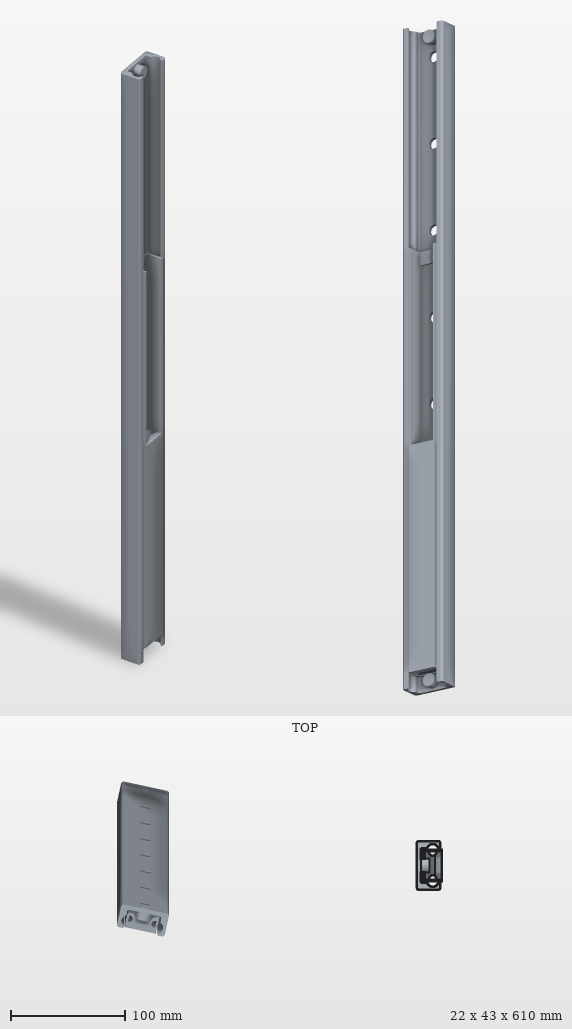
import cadquery as cq

RAIL_LENGTH = 610
RAIL_DEPTH = 21.0
RAIL_WIDTH = 43
WEB_THICKNESS = 3.5
FLANGE_THICKNESS = 6
CORNER_RADIUS = 2.15
INNER_CORNER_RADIUS = 2.0


GROOVE_X = 14.0
RAIL_GROOVE_RADIUS = 5.2
RAIL_GROOVE_Y = 13.5

HOLE_DIAMETER = 10.0
HOLE_COUNT = 8
FIRST_HOLE_Z = 25.0
HOLE_PITCH = (RAIL_LENGTH - 2 * FIRST_HOLE_Z) / (HOLE_COUNT - 1)

STOP_END_DISTANCE = 8.0
STOP_SHANK_DIAMETER = 11.0
STOP_SHANK_CHAMFER = 1.0
STOP_HEAD_DIAMETER = 12
STOP_HEAD_END_X = 11.0
STOP_HEIGHTS = [STOP_END_DISTANCE, RAIL_LENGTH - STOP_END_DISTANCE]

CARRIAGE_START_Z = STOP_END_DISTANCE + STOP_HEAD_DIAMETER / 2
CARRIAGE_FRONT_X = 22.0

CAGE_LENGTH = 391.5
CAGE_WIDTH = 28.0
CAGE_THICKNESS = 2.0
CAGE_BACK_X = 5.5
CAGE_BRIDGE_LENGTH = 12

SLIDER_LENGTH = 210.0
SLIDER_BACK_X = CAGE_BACK_X + CAGE_THICKNESS
SLIDER_WIDTH = CAGE_WIDTH - 2 * CAGE_THICKNESS
SLIDER_PLATE_X = 16.0
SLIDER_END_STEP = 1.0
SLIDER_GROOVE_RADIUS = 3.0
SLIDER_GROOVE_Y = 11.5


def block(x_start, x_end, width, z_start, length):
    """Box centred on Y."""
    return (
        cq.Workplane("XY", origin=(0, 0, z_start))
        .center((x_start + x_end) / 2, 0)
        .rect(x_end - x_start, width)
        .extrude(length)
    )


def rod_along_x(diameter, x_start, x_end, z):
    """Cylinder on the middle plane of the rail."""
    return (
        cq.Workplane("YZ", origin=(x_start, 0, z))
        .circle(diameter / 2)
        .extrude(x_end - x_start)
    )


def groove_pair(radius, y, z_start, length):
    """Two cylinders along Z that cut the ball grooves at +Y and -Y."""
    return (
        cq.Workplane("XY", origin=(0, 0, z_start))
        .pushPoints([(GROOVE_X, y), (GROOVE_X, -y)])
        .circle(radius)
        .extrude(length)
    )


def make_rail():
    channel_width = RAIL_WIDTH - 2 * FLANGE_THICKNESS
    rail = block(0, RAIL_DEPTH, RAIL_WIDTH, 0, RAIL_LENGTH).edges("|Z").fillet(CORNER_RADIUS)
    channel = block(WEB_THICKNESS, RAIL_DEPTH, channel_width, 0, RAIL_LENGTH)
    rail = rail.cut(channel.edges("|Z and <X").fillet(INNER_CORNER_RADIUS))
    rail = rail.cut(groove_pair(RAIL_GROOVE_RADIUS, RAIL_GROOVE_Y, 0, RAIL_LENGTH))
    for index in range(HOLE_COUNT):
        hole_z = FIRST_HOLE_Z + index * HOLE_PITCH
        rail = rail.cut(rod_along_x(HOLE_DIAMETER, 0, WEB_THICKNESS, hole_z))
    for stop_z in STOP_HEIGHTS:
        rail = rail.cut(rod_along_x(STOP_SHANK_DIAMETER, 0, WEB_THICKNESS, stop_z))
    return rail


def make_cage():
    cage = block(CAGE_BACK_X, CARRIAGE_FRONT_X, CAGE_WIDTH, CARRIAGE_START_Z, CAGE_LENGTH)
    slider_space = block(SLIDER_BACK_X, CARRIAGE_FRONT_X, SLIDER_WIDTH, CARRIAGE_START_Z, CAGE_LENGTH)
    window = block(
        CAGE_BACK_X,
        SLIDER_BACK_X,
        SLIDER_WIDTH,
        CARRIAGE_START_Z + CAGE_BRIDGE_LENGTH,
        CAGE_LENGTH - 2 * CAGE_BRIDGE_LENGTH,
    )
    return cage.cut(slider_space).cut(window)


def make_slider():
    plate = block(SLIDER_PLATE_X, CARRIAGE_FRONT_X, SLIDER_WIDTH, CARRIAGE_START_Z, SLIDER_LENGTH)
    back_start_z = CARRIAGE_START_Z + SLIDER_END_STEP
    back_length = SLIDER_LENGTH - 2 * SLIDER_END_STEP
    back = block(SLIDER_BACK_X, SLIDER_PLATE_X, SLIDER_WIDTH, back_start_z, back_length)
    grooves = groove_pair(SLIDER_GROOVE_RADIUS, SLIDER_GROOVE_Y, CARRIAGE_START_Z, SLIDER_LENGTH)
    return plate.union(back).cut(grooves)


def make_end_stop(z):
    shank = rod_along_x(STOP_SHANK_DIAMETER, 0, WEB_THICKNESS, z).faces("<X").chamfer(STOP_SHANK_CHAMFER)
    return shank.union(rod_along_x(STOP_HEAD_DIAMETER, WEB_THICKNESS, STOP_HEAD_END_X, z))


rail = make_rail()
cage = make_cage()
slider = make_slider()
end_stops = [make_end_stop(z) for z in STOP_HEIGHTS]

result = cq.Compound.makeCompound(
    [rail.val(), cage.val(), slider.val(), *[stop.val() for stop in end_stops]]
)